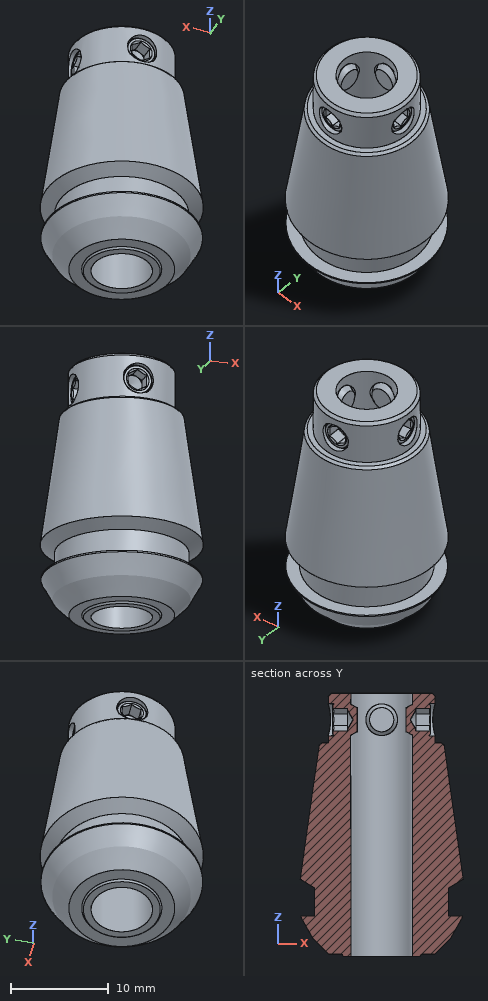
import cadquery as cq
import math

height = 27.0
bore_d = 6.3

lip_height = 0.22
lip_r = 4.1
lip_chamfer = 0.15
foot_r = 5.43
nose_r = 7.1
nose_z = lip_height + (nose_r - foot_r)
flange_r = 16.6 / 2
flange_top_z = 4.18
flange_rim = 0.15
groove_r = 13.8 / 2
groove_top_z = 7.02
body_r = 16.77 / 2
body_base_z = 7.9
shoulder_z = 21.92
shoulder_r = 6.43
shoulder_chamfer_r = 0.32
shoulder_chamfer_z = 0.25
collar_r = 11.0 / 2
collar_chamfer = 0.32

screw_count = 4
screw_z = 24.27
screw_r = 3.25 / 2
screw_tip_x = 2.48
screw_face_x = 5.02
tip_r = 1.25
tip_taper_length = 0.68
face_chamfer = 0.14

socket_flats = 1.97
socket_depth = 1.5
socket_mouth_r = 1.22
socket_mouth_angle = 30
socket_corner_r = socket_flats / math.sqrt(3)
socket_cone_angle = 30
socket_cone_depth = socket_flats / 2 * math.tan(math.radians(socket_cone_angle))
socket_mouth_depth = socket_mouth_r * math.tan(math.radians(socket_mouth_angle))


def revolved_about_x(points):
    """Solid turned about the X axis from (x, radius) points."""
    return cq.Workplane("XY").polyline(points).close().revolve(360, (0, 0, 0), (1, 0, 0))


def make_body():
    """Tapered body with flange, groove and collar, bored through."""
    profile = [
        (0, 0),
        (lip_r - lip_chamfer, 0),
        (lip_r, lip_height),
        (foot_r, lip_height),
        (nose_r, nose_z),
        (flange_r, flange_top_z - flange_rim),
        (flange_r, flange_top_z),
        (groove_r, flange_top_z),
        (groove_r, groove_top_z),
        (body_r, body_base_z),
        (shoulder_r, shoulder_z - shoulder_chamfer_z),
        (shoulder_r - shoulder_chamfer_r, shoulder_z),
        (collar_r, shoulder_z),
        (collar_r, height - collar_chamfer),
        (collar_r - collar_chamfer, height),
        (0, height),
    ]
    body = cq.Workplane("XZ").polyline(profile).close().revolve(360, (0, 0, 0), (0, 1, 0))
    bore = cq.Workplane("XY").circle(bore_d / 2).extrude(height)
    return body.cut(bore)


def make_screw_hole():
    """Cutter for one screw hole along +X, from the bore to beyond the collar."""
    return cq.Workplane("YZ").circle(screw_r).extrude(collar_r + screw_r)


def make_screw():
    """Set screw along +X with chamfered ends and a drilled hexagon socket."""
    shank = revolved_about_x([
        (screw_tip_x, 0),
        (screw_tip_x, tip_r),
        (screw_tip_x + tip_taper_length, screw_r),
        (screw_face_x - face_chamfer, screw_r),
        (screw_face_x, screw_r - face_chamfer),
        (screw_face_x, 0),
    ])
    socket_floor_x = screw_face_x - socket_depth
    hexagon = (
        cq.Workplane("YZ", origin=(socket_floor_x, 0, 0))
        .polygon(6, 2 * socket_corner_r)
        .extrude(socket_depth)
        .rotate((0, 0, 0), (1, 0, 0), 90)
    )
    floor_cone = revolved_about_x([
        (socket_floor_x - socket_cone_depth, 0),
        (socket_floor_x, socket_flats / 2),
        (socket_floor_x, 0),
    ])
    mouth = revolved_about_x([
        (screw_face_x - socket_mouth_depth, 0),
        (screw_face_x, socket_mouth_r),
        (screw_face_x, 0),
    ])
    return shank.cut(hexagon).cut(floor_cone).cut(mouth)


screw_hole = make_screw_hole().translate((0, 0, screw_z))
screw = make_screw().translate((0, 0, screw_z))

result = make_body()
for index in range(screw_count):
    angle = index * 360 / screw_count
    result = result.cut(screw_hole.rotate((0, 0, 0), (0, 0, 1), angle))
    result = result.union(screw.rotate((0, 0, 0), (0, 0, 1), angle))